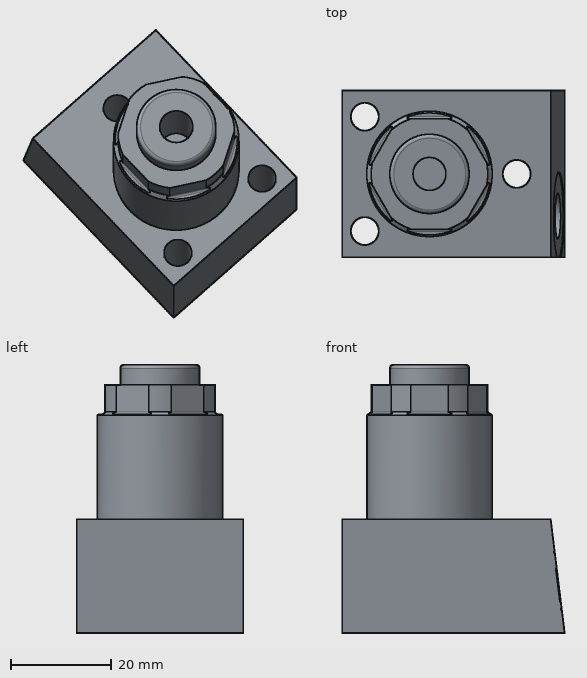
import cadquery as cq
import math

base_length = 44.4
base_width = 33.35
base_height = 22.8
end_lean = 7.0

mount_hole_diameter = 5.5
mount_pair_x = 4.5
mount_pair_spacing = 22.85
mount_single_x = 34.85

tower_x = 17.4
body_radius = 12.55
body_edge_z = 43.45
nut_corner_radius = 11.65
nut_across_flats = 22.0
nut_sides = 6
nut_top_z = 49.55
body_shoulder_rise = 0.7
flat_floor_z = 43.75
flat_root_radius = 0.5
cap_radius = 7.95
cap_top_z = 53.6
cap_edge_radius = 0.75
bore_diameter = 6.6
bore_depth = 16.1

port_y = -8.4
port_z = 9.6
port_diameter = 9.0
port_depth = 10.7
spotface_diameter = 17.45
spotface_depth = 0.2


def make_base():
    top_length = base_length - base_height * math.tan(math.radians(end_lean))
    side_profile = [(0, 0), (base_length, 0), (top_length, base_height), (0, base_height)]
    block = cq.Workplane("XZ").polyline(side_profile).close().extrude(base_width / 2, both=True)
    hole_places = [
        (mount_pair_x, mount_pair_spacing / 2),
        (mount_pair_x, -mount_pair_spacing / 2),
        (mount_single_x, 0),
    ]
    holes = cq.Workplane("XY").pushPoints(hole_places).circle(mount_hole_diameter / 2).extrude(base_height)
    return block.cut(holes)


def make_port():
    """Port hole and spotface volumes, running inward from the leaning face."""
    lean = math.radians(end_lean)
    face_x = base_length - port_z * math.tan(lean)
    inward = (-math.cos(lean), 0, -math.sin(lean))
    face = cq.Workplane(cq.Plane(origin=(face_x, port_y, port_z), xDir=(0, 1, 0), normal=inward))
    hole = face.circle(port_diameter / 2).extrude(port_depth)
    spotface = face.circle(spotface_diameter / 2).extrude(spotface_depth)
    return hole.union(spotface)


def make_tower():
    """Turned body, nut blank and cap, with the nut flats and central bore cut."""
    tower = (
        cq.Workplane("XZ")
        .moveTo(0, base_height)
        .lineTo(body_radius, base_height)
        .lineTo(body_radius, body_edge_z)
        .lineTo(nut_corner_radius, body_edge_z + body_shoulder_rise)
        .lineTo(nut_corner_radius, nut_top_z)
        .lineTo(cap_radius, nut_top_z)
        .lineTo(cap_radius, cap_top_z)
        .lineTo(0, cap_top_z)
        .close()
        .revolve(360, (0, 0, 0), (0, 1, 0))
    )
    tower = tower.faces(">Z").edges().fillet(cap_edge_radius)
    flat_cutter = make_flat_cutter()
    for side in range(nut_sides):
        angle = 90 + side * 360 / nut_sides
        tower = tower.cut(flat_cutter.rotate((0, 0, 0), (0, 0, 1), angle))
    tower = tower.faces(">Z").workplane().hole(bore_diameter, bore_depth)
    return tower.translate((tower_x, 0, 0))


def make_flat_cutter():
    """Block that mills one nut flat and leaves a rounded root above the body."""
    cutter = cq.Workplane("XY").box(
        body_radius, 2 * body_radius, nut_top_z - flat_floor_z, centered=(False, True, False)
    )
    cutter = cutter.edges("<X and <Z").fillet(flat_root_radius)
    return cutter.translate((nut_across_flats / 2, 0, flat_floor_z))


result = make_base().union(make_tower()).cut(make_port())